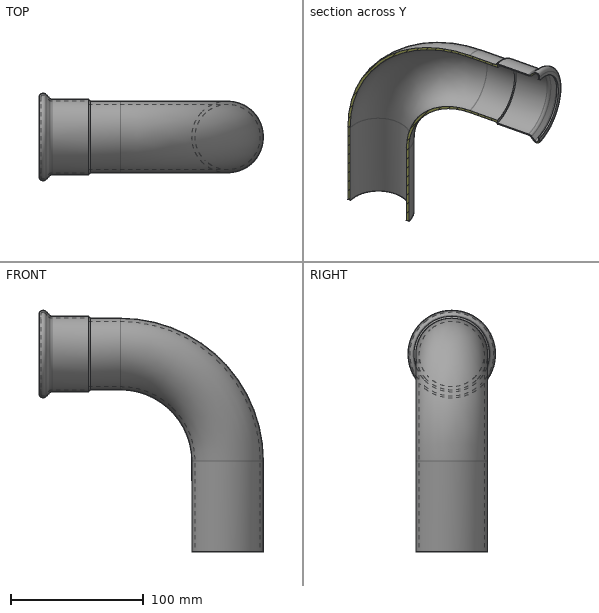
import cadquery as cq
import math

height = 182.0
length = 169.0
pipe_diameter = 54.0
pipe_bore = 49.1
socket_diameter = 57.0
bead_diameter = 66.0

socket_end = 37.1
taper_length = 1.6
bend_start = 61.3
wall = 1.5
bead_round = 3.1
neck_round = 2.2

pipe_radius = pipe_diameter / 2
socket_radius = socket_diameter / 2
socket_bore_radius = socket_radius - wall
bore_radius = pipe_bore / 2
bend_radius = length - pipe_radius - bend_start
axis_height = height - bead_diameter / 2
spigot_length = axis_height - bend_radius

diagonal = math.sqrt(0.5)
bead_centre = (bead_round, bead_diameter / 2 - bead_round)
neck_centre_radius = socket_radius + neck_round
neck_centre = (
    sum(bead_centre) + (bead_round + neck_round) / diagonal - neck_centre_radius,
    neck_centre_radius,
)


def on_round(centre, radius, degrees):
    """Point on a round at an angle measured from the socket axis."""
    angle = math.radians(degrees)
    return (centre[0] + radius * math.cos(angle), centre[1] + radius * math.sin(angle))


def add_bead_and_neck(outline, bead, neck):
    """Continue an outline over the bead, down the cone and through the neck."""
    return (
        outline.lineTo(*on_round(bead_centre, bead, 180))
        .threePointArc(on_round(bead_centre, bead, 112.5), on_round(bead_centre, bead, 45))
        .lineTo(*on_round(neck_centre, neck, 225))
        .threePointArc(on_round(neck_centre, neck, 247.5), on_round(neck_centre, neck, 270))
    )


def revolve_on_socket_axis(outline):
    """Close an outline and turn it about the raised socket axis."""
    solid = outline.close().revolve(360, (0, 0, 0), (1, 0, 0))
    return solid.translate((0, 0, axis_height))


def socket_body():
    outline = add_bead_and_neck(cq.Workplane("XZ"), bead_round, neck_round)
    outline = (
        outline.lineTo(socket_end, socket_radius)
        .lineTo(socket_end + taper_length, pipe_radius)
        .lineTo(bend_start, pipe_radius)
        .lineTo(bend_start, 0)
    )
    return revolve_on_socket_axis(outline)


def socket_cavity():
    """Mouth, seal groove inside the bead, socket bore with a flat stop, and pipe bore."""
    mouth = (
        cq.Workplane("XZ")
        .lineTo(0, socket_bore_radius)
        .lineTo(bead_centre[0] - (bead_round - wall), socket_bore_radius)
    )
    outline = add_bead_and_neck(mouth, bead_round - wall, neck_round + wall)
    outline = (
        outline.lineTo(socket_end, socket_bore_radius)
        .lineTo(socket_end, bore_radius)
        .lineTo(bend_start, bore_radius)
        .lineTo(bend_start, 0)
    )
    return revolve_on_socket_axis(outline)


def bend_and_spigot(radius):
    """Quarter bend turning down into the straight spigot."""
    bend = (
        cq.Workplane("YZ", origin=(bend_start, 0, axis_height))
        .circle(radius)
        .revolve(90, (-1.8, -bend_radius, 0), (1.8, -bend_radius, 0))
    )
    spigot = (
        cq.Workplane("XY", origin=(bend_start + bend_radius, 0, 0))
        .circle(radius)
        .extrude(spigot_length)
    )
    return bend.union(spigot)


body = socket_body().union(bend_and_spigot(pipe_radius))
result = body.cut(socket_cavity()).cut(bend_and_spigot(bore_radius))